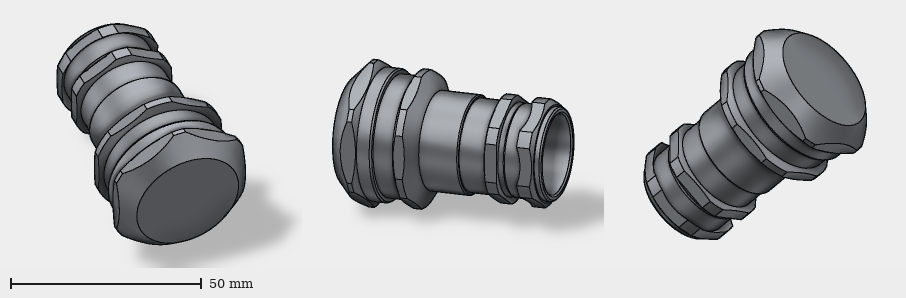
import cadquery as cq
import math


hex_half_angle = 30.0
length = 57.6
thread_radius = 25.0 / 2

rim_chamfer = 0.45
bore_radius = 21.5 / 2
bore_lip_start = 10.9
bore_lip_end = 11.75
bore_lip_radius = 10.55
bore_depth = 12.55

groove_start = 10.15
groove_bottom = 10.6
groove_radius = 12.15
bead_radius = 12.55

small_flats = 27.1
small_corner_radius = 29.05 / 2
cap_start = 1.8
cap_face_radius = 26.0 / 2
cap_corner_start = 2.7
cap_corner_end = 6.35
lock_start = 12.0
lock_corner_end = 15.15
lock_end = 15.8

sleeve_start = 22.85
sleeve_chamfer = 0.35
sleeve_radius = 26.6 / 2
sleeve_end = 33.85

body_flats = 35.0
body_corner_radius = 37.0 / 2
cone_angle = 60.0
body_corner_end = 38.9
neck_radius = 32.8 / 2

collar_start = 45.5
collar_chamfer = 0.6
collar_drop = 0.35
collar_radius = 35.5 / 2
end_flats = 36.0
end_corner_radius = 39.75 / 2
end_start = 49.65
end_corner_end = 52.25


def cone_run(rise):
    """Axial length of a 60 degree cone for a given change of radius."""
    return rise / math.tan(math.radians(cone_angle))


def turned(points):
    """Revolve an outline, closed along the X axis, about X."""
    first_x = points[0][0]
    last_x = points[-1][0]
    outline = [(first_x, 0)] + points + [(last_x, 0)]
    return cq.Workplane("XY").polyline(outline).close().revolve(360, (0, 0, 0), (1, 0, 0))


def hex_turned(points, flats):
    """Turned blank cut to a hexagon with its corners pointing up and down."""
    corner_diameter = flats / math.cos(math.radians(hex_half_angle))
    prism = (
        cq.Workplane("YZ")
        .polygon(6, corner_diameter)
        .extrude(length)
        .rotate((0, 0, 0), (1, 0, 0), hex_half_angle)
    )
    return turned(points).intersect(prism)


def make_core():
    """Round surfaces from the mouth to the collar."""
    return turned([
        (0, thread_radius - rim_chamfer),
        (rim_chamfer, thread_radius),
        (groove_start, thread_radius),
        (groove_bottom, groove_radius),
        (lock_start, groove_radius),
        (lock_start, thread_radius),
        (sleeve_start, thread_radius),
        (sleeve_start, sleeve_radius - sleeve_chamfer),
        (sleeve_start + sleeve_chamfer, sleeve_radius),
        (body_corner_end, sleeve_radius),
        (body_corner_end, neck_radius),
        (collar_start, neck_radius),
        (collar_start, collar_radius - collar_drop),
        (collar_start + collar_chamfer, collar_radius),
        (end_start, collar_radius),
    ])


def make_bead():
    """Seal ring that rounds up out of the groove and runs straight in under the lock nut."""
    return (
        cq.Workplane("XY")
        .moveTo(lock_corner_end, 0)
        .lineTo(lock_corner_end, bead_radius)
        .lineTo(lock_start, bead_radius)
        .tangentArcPoint((groove_bottom, groove_radius), relative=False)
        .lineTo(groove_bottom, 0)
        .close()
        .revolve(360, (0, 0, 0), (1, 0, 0))
    )


def make_cap_nut():
    """Front nut with an undercut, 45 degree conical back."""
    undercut = small_corner_radius - thread_radius
    return hex_turned([
        (cap_start, cap_face_radius),
        (cap_corner_start, small_corner_radius),
        (cap_corner_end, small_corner_radius),
        (cap_corner_end - undercut, thread_radius),
    ], small_flats)


def make_lock_nut():
    """Second nut, flat in front and chamfered at the back."""
    return hex_turned([
        (lock_start, small_corner_radius),
        (lock_corner_end, small_corner_radius),
        (lock_end, thread_radius),
    ], small_flats)


def make_body_hex():
    """Large hexagon with a conical shoulder on both sides."""
    return hex_turned([
        (sleeve_end, sleeve_radius),
        (sleeve_end + cone_run(body_corner_radius - sleeve_radius), body_corner_radius),
        (body_corner_end, body_corner_radius),
        (body_corner_end + cone_run(body_corner_radius - neck_radius), neck_radius),
    ], body_flats)


def make_end_nut():
    """Rear nut, closed by a 45 degree cone down to a plain end face."""
    return hex_turned([
        (end_start, collar_radius),
        (end_start + cone_run(end_corner_radius - collar_radius), end_corner_radius),
        (end_corner_end, end_corner_radius),
        (length, end_corner_radius - (length - end_corner_end)),
    ], end_flats)


def make_bore():
    """Blind bore with a chamfered mouth, rounding in to a narrower lip near its floor."""
    return (
        cq.Workplane("XY")
        .moveTo(bore_depth, 0)
        .lineTo(bore_depth, bore_lip_radius)
        .lineTo(bore_lip_end, bore_lip_radius)
        .tangentArcPoint((bore_lip_start, bore_radius), relative=False)
        .lineTo(rim_chamfer, bore_radius)
        .lineTo(0, bore_radius + rim_chamfer)
        .lineTo(0, 0)
        .close()
        .revolve(360, (0, 0, 0), (1, 0, 0))
    )


result = (
    make_core()
    .union(make_bead())
    .union(make_cap_nut())
    .union(make_lock_nut())
    .union(make_body_hex())
    .union(make_end_nut())
    .cut(make_bore())
)